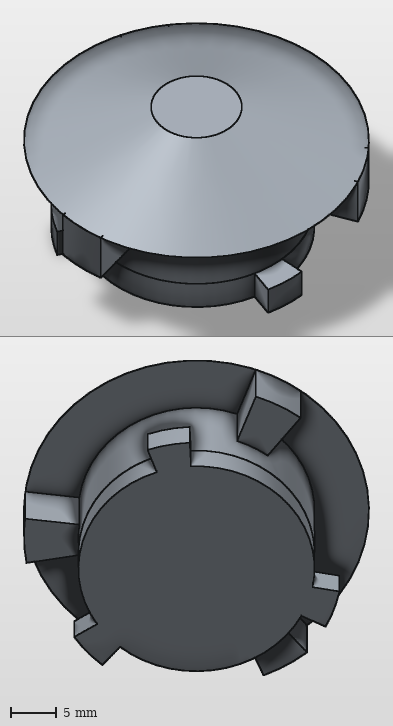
import cadquery as cq
import math

DISC_HEIGHT = 3.5
DRUM_HEIGHT = 9.5
CAP_HEIGHT = 5.0
UPPER_LUG_HEIGHT = 6.0
DRUM_TOP = DISC_HEIGHT + DRUM_HEIGHT

CAP_RADIUS = 38 / 2
CAP_FLAT_RADIUS = 10.0 / 2
DRUM_RADIUS = 26.0 / 2
LOWER_LUG_RADIUS = 16.0

LUG_COUNT = 3
LUG_SPAN = 17
UPPER_LUG_START = 31.4
LOWER_LUG_START = 111.6


def polar_point(radius, angle):
    radians = math.radians(angle)
    return radius * math.cos(radians), radius * math.sin(radians)


def make_sector(outer_radius, middle_angle, base, height):
    """Solid sector from the axis out to outer_radius."""
    start = middle_angle - LUG_SPAN / 2
    end = middle_angle + LUG_SPAN / 2
    return (
        cq.Workplane("XY", origin=(0, 0, base))
        .moveTo(0, 0)
        .lineTo(*polar_point(outer_radius, start))
        .threePointArc(polar_point(outer_radius, middle_angle), polar_point(outer_radius, end))
        .close()
        .extrude(height)
    )


def add_lugs(body, outer_radius, first_angle, base, height):
    """Join the equally spaced lugs to a round body."""
    for index in range(LUG_COUNT):
        angle = first_angle + index * 360 / LUG_COUNT
        body = body.union(make_sector(outer_radius, angle, base, height))
    return body


def make_cap():
    """Conical cap with a flat top and a sharp rim."""
    cap_top = DRUM_TOP + CAP_HEIGHT
    return (
        cq.Workplane("XZ")
        .moveTo(0, DRUM_TOP)
        .lineTo(CAP_RADIUS, DRUM_TOP)
        .lineTo(CAP_FLAT_RADIUS, cap_top)
        .lineTo(0, cap_top)
        .close()
        .revolve(360, (0, 0, 0), (0, 1, 0))
    )


def make_drum():
    """Round drum with the tall lugs below the cap."""
    drum = cq.Workplane("XY", origin=(0, 0, DISC_HEIGHT)).circle(DRUM_RADIUS).extrude(DRUM_HEIGHT)
    lug_base = DRUM_TOP - UPPER_LUG_HEIGHT
    return add_lugs(drum, CAP_RADIUS, UPPER_LUG_START, lug_base, UPPER_LUG_HEIGHT)


def make_locking_disc():
    """Bottom disc, flush with the drum, with the short locking lugs."""
    disc = cq.Workplane("XY").circle(DRUM_RADIUS).extrude(DISC_HEIGHT)
    return add_lugs(disc, LOWER_LUG_RADIUS, LOWER_LUG_START, 0, DISC_HEIGHT)


cap = make_cap()
drum = make_drum()
locking_disc = make_locking_disc()

result = cq.Compound.makeCompound([cap.val(), drum.val(), locking_disc.val()])